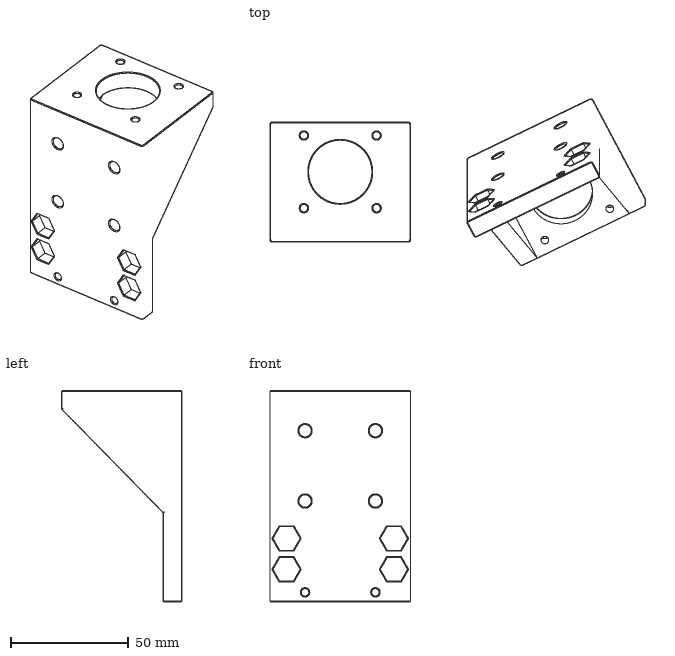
import cadquery as cq
import math

WIDTH = 60.0
DEPTH = 51.207
HEIGHT = 90.15

FRONT_PLATE = 8.0
TOP_PLATE = 8.0
SIDE_WALL = 8.0
SLOPE_RISE = 44.1

EDGE_RADIUS = 1.0
END_CHAMFER = 0.35

MOTOR_Y = 30.0
MOTOR_BORE = 27.0
MOTOR_SCREW_PITCH = 31.0
SMALL_SCREW = 3.2

MOUNT_PITCH = 30.0
MOUNT_LOWER_Z = 43.0
MOUNT_HOLE = 5.3
FOOT_SCREW_Z = 4.05

BORE_CHAMFER = 0.35
SMALL_SCREW_CHAMFER = 0.4
MOUNT_CHAMFER = 0.4

NUT_ACROSS_FLATS = 10.1
NUT_CHAMFER = 0.35
NUT_DEPTH = 5.5
NUT_X = 22.9
NUT_LOWER_Z = 13.85
NUT_SPACING = 13.2
HEX_SIDES = 6
CORNERS_PER_FLATS = 1 / math.cos(math.pi / HEX_SIDES)

MOUTH_TAPER = 45


def make_body():
    """Solid bracket envelope with rounded side edges and chamfered ends."""
    slope_top_z = HEIGHT - TOP_PLATE
    profile = [
        (0, 0),
        (FRONT_PLATE, 0),
        (FRONT_PLATE, slope_top_z - SLOPE_RISE),
        (DEPTH, slope_top_z),
        (DEPTH, HEIGHT),
        (0, HEIGHT),
    ]
    body = cq.Workplane("YZ").polyline(profile).close().extrude(WIDTH / 2, both=True)
    body = body.faces("<X or >X").edges("not |Y").fillet(EDGE_RADIUS)
    return body.faces("<Z or >Z").edges().chamfer(END_CHAMFER)


def make_cavity():
    """Open space behind the front plate, between the side walls and below the top plate."""
    cavity = cq.Workplane("XY").box(
        WIDTH - 2 * SIDE_WALL, DEPTH, HEIGHT - TOP_PLATE, centered=(True, False, False)
    )
    return cavity.translate((0, FRONT_PLATE, 0))


def round_cutter(face, points, diameter, depth, chamfer):
    """Round holes sunk from a face plane, with chamfered mouths."""
    radius = diameter / 2
    holes = face.pushPoints(points).circle(radius).extrude(-depth)
    mouths = face.pushPoints(points).circle(radius + chamfer)
    return holes.union(mouths.extrude(-chamfer, taper=MOUTH_TAPER))


def hex_cutter(face, points, across_flats, depth, chamfer):
    """Hexagonal pockets with corners along X, sunk from a face plane, with chamfered mouths."""
    across_corners = across_flats * CORNERS_PER_FLATS
    mouth_corners = (across_flats + 2 * chamfer) * CORNERS_PER_FLATS
    pockets = face.pushPoints(points).polygon(HEX_SIDES, across_corners).extrude(-depth)
    mouths = face.pushPoints(points).polygon(HEX_SIDES, mouth_corners)
    return pockets.union(mouths.extrude(-chamfer, taper=MOUTH_TAPER))


def square_points(pitch, center_x, center_y):
    """Corners of a square hole pattern."""
    half = pitch / 2
    return [(center_x + dx, center_y + dy) for dx in (-half, half) for dy in (-half, half)]


front_face = cq.Workplane("XZ")
top_face = cq.Workplane("XY", origin=(0, 0, HEIGHT))

motor_bore = [(0, MOTOR_Y)]
motor_screws = square_points(MOTOR_SCREW_PITCH, 0, MOTOR_Y)
mount_holes = square_points(MOUNT_PITCH, 0, MOUNT_LOWER_Z + MOUNT_PITCH / 2)
foot_screws = [(side * MOUNT_PITCH / 2, FOOT_SCREW_Z) for side in (-1, 1)]
nuts = [(side * NUT_X, NUT_LOWER_Z + row * NUT_SPACING) for side in (-1, 1) for row in (0, 1)]

result = (
    make_body()
    .cut(make_cavity())
    .cut(round_cutter(top_face, motor_bore, MOTOR_BORE, TOP_PLATE, BORE_CHAMFER))
    .cut(round_cutter(top_face, motor_screws, SMALL_SCREW, TOP_PLATE, SMALL_SCREW_CHAMFER))
    .cut(round_cutter(front_face, mount_holes, MOUNT_HOLE, FRONT_PLATE, MOUNT_CHAMFER))
    .cut(round_cutter(front_face, foot_screws, SMALL_SCREW, FRONT_PLATE, SMALL_SCREW_CHAMFER))
    .cut(hex_cutter(front_face, nuts, NUT_ACROSS_FLATS, NUT_DEPTH, NUT_CHAMFER))
)